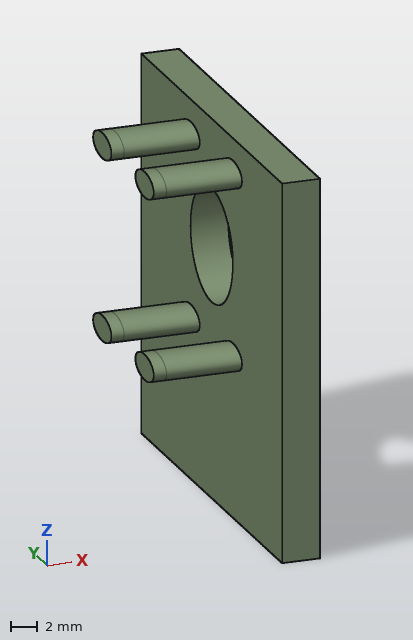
import cadquery as cq

plate_side = 30.0
plate_thickness = 3.0

hole_diameter = 9.0
hole_drop = 10.0
hole_z = plate_side / 2 - hole_drop

peg_length = 7.0
peg_width = 3.93
peg_height = 2.0
peg_spacing_y = 9.0
peg_spacing_z = 14.43
tip_length = 1.0

overall_depth = plate_thickness + peg_length
plate_face_x = peg_length - overall_depth / 2


def make_plate():
    """Square plate with its round through hole."""
    plane = cq.Workplane("YZ", origin=(plate_face_x, 0, 0))
    plate = plane.rect(plate_side, plate_side).extrude(plate_thickness)
    hole = plane.center(0, hole_z).circle(hole_diameter / 2).extrude(plate_thickness)
    return plate.cut(hole)


def make_pegs(start_x, length):
    """Four elliptical prisms running from start_x toward -X."""
    return (
        cq.Workplane("YZ", origin=(start_x, 0, hole_z))
        .rect(peg_spacing_y, peg_spacing_z, forConstruction=True)
        .vertices()
        .ellipse(peg_width / 2, peg_height / 2)
        .extrude(-length)
    )


shank_length = peg_length - tip_length
shanks = make_pegs(plate_face_x, shank_length)
tips = make_pegs(plate_face_x - shank_length, tip_length)

result = make_plate().union(shanks).union(tips)